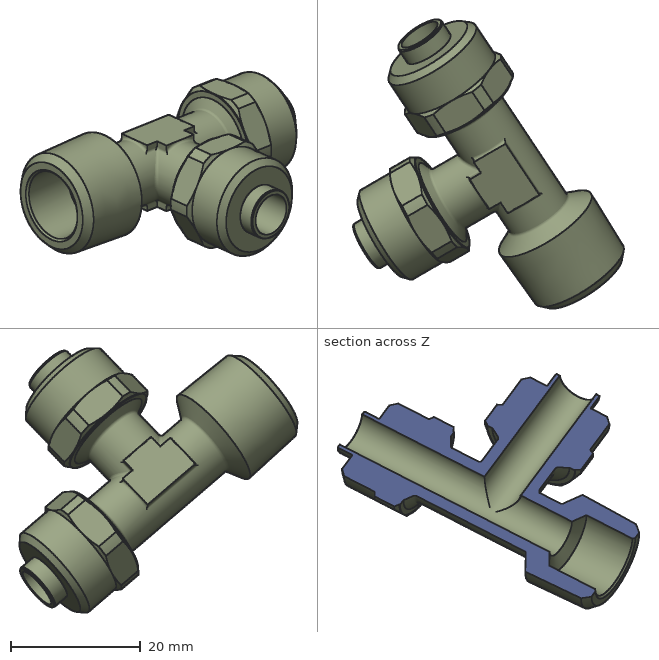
import cadquery as cq
import math

arm_reach = 25.5
thread_reach = 22.5
body_radius = 5.3
branch_radius = 5.25
bore_radius = 3.25
cone_angle = 30
cone_slope = math.tan(math.radians(cone_angle))
neck_fillet = 0.45
cast_fillet = 0.45

nut_flats = 16.0
nut_radius = nut_flats / 2
hex_turn = 30
nut_corner_radius = 8.75
nut_face = 11.6
nut_washer = 0.15
hex_end = 16.2
nut_end = 22.8
nut_chamfer = 1.0
collar_radius = 7.0
pipe_radius = 4.0
pipe_chamfer_length = 0.25
pipe_chamfer_depth = 0.1

thread_radius = 8.45
thread_shoulder = 11.35
thread_chamfer_length = 1.25
thread_chamfer_depth = 1.1
thread_taper = 1 / 32
socket_radius = 5.45
socket_depth = 8.65
socket_chamfer = 0.35

pad_half_width = 2.9
pad_reach = 5.0
pad_top = 5.6
pad_trim = 1.45


def revolve_along_x(outline):
    """Turn an (axial, radial) outline about the X axis."""
    return cq.Workplane("XY").polyline(outline).close().revolve(360, (0, 0, 0), (1, 0, 0))


def turn_to_y(shape):
    """Swing a shape built along +X round to +Y."""
    return shape.rotate((0, 0, 0), (0, 0, 1), 90)


def flare(radius, flare_radius, flare_end):
    """Outline points of a neck on a round body and the cone rising from it."""
    flare_start = flare_end - (flare_radius - radius) * cone_slope
    return [(flare_start, radius), (flare_end, flare_radius), (flare_end, 0)]


def round_necks(shape, radius):
    """Fillet the circular edges where flares rise from a round body along X."""
    necks = [
        edge for edge in shape.edges("%CIRCLE").vals()
        if math.isclose(edge.radius(), radius) and abs(edge.Center().x) > radius
    ]
    return shape.newObject(necks).fillet(neck_fillet)


def flared_run():
    """Round run along Y, flared at both ends."""
    pipe_side = flare(body_radius, collar_radius, nut_face)
    thread_side = flare(body_radius, thread_radius, thread_shoulder)
    mirrored_thread_side = [(-axial, radius) for axial, radius in reversed(thread_side)]
    return turn_to_y(round_necks(revolve_along_x(mirrored_thread_side + pipe_side), body_radius))


def flared_branch():
    """Round branch along +X, flared at its outer end."""
    outline = [(0, 0), (0, branch_radius)] + flare(branch_radius, collar_radius, nut_face)
    return round_necks(revolve_along_x(outline), branch_radius)


def nut_with_pipe():
    """Compression nut and the pipe stub leaving it, along +X."""
    hex_bar = (
        cq.Workplane("YZ", origin=(nut_face, 0, 0))
        .polygon(6, nut_flats, circumscribed=True)
        .extrude(hex_end - nut_face)
        .rotate((0, 0, 0), (1, 0, 0), hex_turn)
    )
    bevel = (nut_corner_radius - nut_radius) * cone_slope
    turned_blank = revolve_along_x([
        (nut_face, 0),
        (nut_face, nut_radius),
        (nut_face + nut_washer, nut_radius),
        (nut_face + nut_washer + bevel, nut_corner_radius),
        (hex_end - bevel, nut_corner_radius),
        (hex_end, nut_radius),
        (hex_end, 0),
    ])
    skirt_and_pipe = revolve_along_x([
        (nut_face, 0),
        (nut_face, collar_radius),
        (hex_end, nut_radius),
        (nut_end - nut_chamfer, nut_radius),
        (nut_end, nut_radius - nut_chamfer),
        (nut_end, pipe_radius),
        (arm_reach - pipe_chamfer_length, pipe_radius),
        (arm_reach, pipe_radius - pipe_chamfer_depth),
        (arm_reach, 0),
    ])
    return hex_bar.intersect(turned_blank).union(skirt_and_pipe)


def thread_end():
    """Tapered thread blank with a chamfered mouth, along +X."""
    taper_end = thread_reach - thread_chamfer_length
    small_radius = thread_radius - (taper_end - thread_shoulder) * thread_taper
    return revolve_along_x([
        (thread_shoulder, 0),
        (thread_shoulder, thread_radius),
        (taper_end, small_radius),
        (thread_reach, small_radius - thread_chamfer_depth),
        (thread_reach, 0),
    ])


def thread_socket():
    """Wide socket in the threaded end, narrowing through a cone to the bore."""
    floor = thread_reach - socket_depth
    cone_tip = floor - socket_radius * cone_slope
    return revolve_along_x([
        (cone_tip, 0),
        (floor, socket_radius),
        (thread_reach - socket_chamfer, socket_radius),
        (thread_reach, socket_radius + socket_chamfer),
        (thread_reach, 0),
    ])


def bore():
    """Straight bore from the crossing out through a pipe stub, along +X."""
    return cq.Workplane("YZ").circle(bore_radius).extrude(arm_reach)


def marking_pads():
    """T-shaped block standing proud of the body above and below, still too tall by the trim."""
    outline = [
        (-pad_half_width, -pad_reach),
        (pad_half_width, -pad_reach),
        (pad_half_width, -pad_half_width),
        (pad_reach, -pad_half_width),
        (pad_reach, pad_half_width),
        (pad_half_width, pad_half_width),
        (pad_half_width, pad_reach),
        (-pad_half_width, pad_reach),
    ]
    return cq.Workplane("XY").polyline(outline).close().extrude(pad_top + pad_trim, both=True)


def cast_body():
    """Run, branch and pads joined, with the crotch and the feet of the pads rounded."""
    body = flared_run().union(flared_branch()).union(marking_pads())
    crossing = cq.selectors.BoxSelector(
        (-body_radius, -body_radius, -body_radius),
        (body_radius, body_radius, body_radius),
    )
    body = body.edges(crossing).edges("not |Z").fillet(cast_fillet)
    trim_side = 2 * (pad_reach + cast_fillet)
    trim = cq.Workplane("XY").workplane(offset=pad_top).rect(trim_side, trim_side).extrude(2 * pad_trim)
    return body.cut(trim).cut(trim.mirror("XY"))


body = cast_body().union(nut_with_pipe()).union(turn_to_y(nut_with_pipe()))
body = body.union(turn_to_y(thread_end()).mirror("XZ"))
body = body.cut(bore()).cut(turn_to_y(bore())).cut(turn_to_y(bore()).mirror("XZ"))
result = body.cut(turn_to_y(thread_socket()).mirror("XZ"))